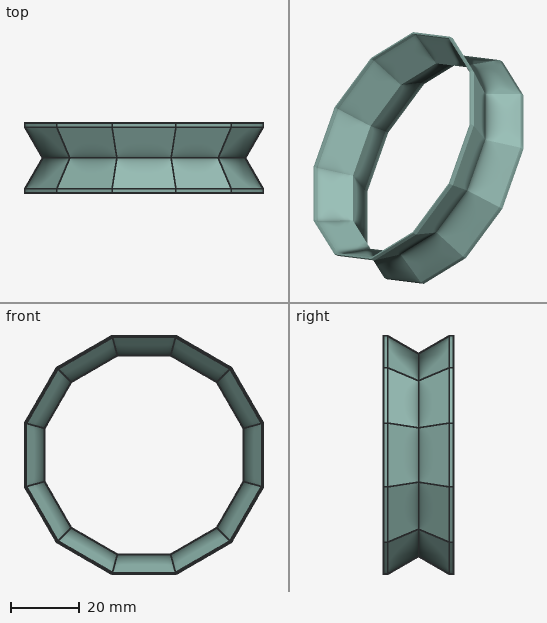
import cadquery as cq
import math

SIDES = 12
RIM_FLATS = 69.35
WIDTH = 20.4
OUTER_LAND = 1.2
SLOPE = math.radians(30)
WALL = 0.5

half_width = WIDTH / 2
rim_apothem = RIM_FLATS / 2
bore_apothem = rim_apothem - WALL
inner_land = OUTER_LAND - WALL * math.tan(SLOPE / 2)


def polygon_points(apothem):
    """Corners of the regular polygon with flats facing +/-X and +/-Z."""
    radius = apothem / math.cos(math.pi / SIDES)
    angles = [2 * math.pi * (i + 0.5) / SIDES for i in range(SIDES)]
    return [(radius * math.cos(a), radius * math.sin(a)) for a in angles]


def frustum(y_start, apothem_start, y_end, apothem_end):
    """Polygonal frustum or prism along Y between two sections."""
    start = cq.Workplane("XZ", origin=(0, y_start, 0)).polyline(polygon_points(apothem_start)).close()
    end = start.workplane(offset=y_start - y_end).polyline(polygon_points(apothem_end)).close()
    return end.loft(ruled=True, combine=True)


def spool(end_apothem, land):
    """Solid polygonal spool: a straight land at each end and a V-shaped waist between."""
    cone_length = half_width - land
    waist_apothem = end_apothem - cone_length * math.tan(SLOPE)
    body = cq.Workplane("XZ")
    for side in (1, -1):
        y_bend = side * cone_length
        y_end = side * half_width
        body = body.union(frustum(0, waist_apothem, y_bend, end_apothem))
        body = body.union(frustum(y_bend, end_apothem, y_end, end_apothem))
    return body


outside = spool(rim_apothem, OUTER_LAND)
bore = spool(bore_apothem, inner_land)
result = outside.cut(bore)